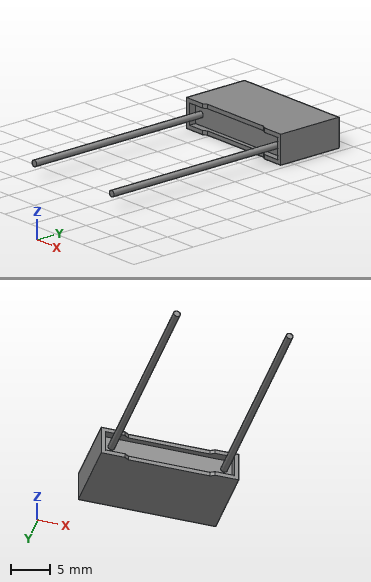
import cadquery as cq

total_length = 37.1
case_width = 18.3
case_length = 10.13
case_height = 4.2
wall = 0.6
rear_edge_radius = 0.5

relief_depth = 0.35
relief_outer_width = 12.0
relief_inner_width = 10.87

filling_recess = 1.0

lead_diameter = 0.9
lead_pitch = 15.0

lead_tip_y = -total_length / 2
rear_y = total_length / 2
rim_y = rear_y - case_length
filling_front_y = rim_y + filling_recess
filling_rear_y = rear_y - wall

cavity_width = case_width - 2 * wall
cavity_height = case_height - 2 * wall


def block(width, height, start_y, end_y):
    """Box centred on X and Z that spans start_y to end_y."""
    return (
        cq.Workplane("XY")
        .box(width, end_y - start_y, height)
        .translate((0, (start_y + end_y) / 2, 0))
    )


def make_rim_relief():
    """Trapezoidal cutter that passes through both large walls of the case."""
    return (
        cq.Workplane("XY")
        .polyline([
            (-relief_outer_width / 2, rim_y),
            (relief_outer_width / 2, rim_y),
            (relief_inner_width / 2, rim_y + relief_depth),
            (-relief_inner_width / 2, rim_y + relief_depth),
        ])
        .close()
        .extrude(case_height / 2, both=True)
    )


def make_case():
    """Case with rounded rear edges, a cavity for the filling and a relieved rim."""
    shell = block(case_width, case_height, rim_y, rear_y)
    shell = shell.faces(">Y").edges().fillet(rear_edge_radius)
    cavity = block(cavity_width, cavity_height, rim_y, filling_rear_y)
    return shell.cut(cavity).cut(make_rim_relief())


def make_filling():
    """Solid filling that closes the cavity behind the rim."""
    return block(cavity_width, cavity_height, filling_front_y, filling_rear_y)


def make_lead(x):
    """Round wire that runs from the filling face out to its tip."""
    return (
        cq.Workplane("XZ", origin=(x, filling_front_y, 0))
        .circle(lead_diameter / 2)
        .extrude(filling_front_y - lead_tip_y)
    )


case = make_case()
filling = make_filling()
leads = [make_lead(side * lead_pitch / 2) for side in (-1, 1)]

result = cq.Compound.makeCompound([
    case.val(),
    filling.val(),
    *[lead.val() for lead in leads],
])